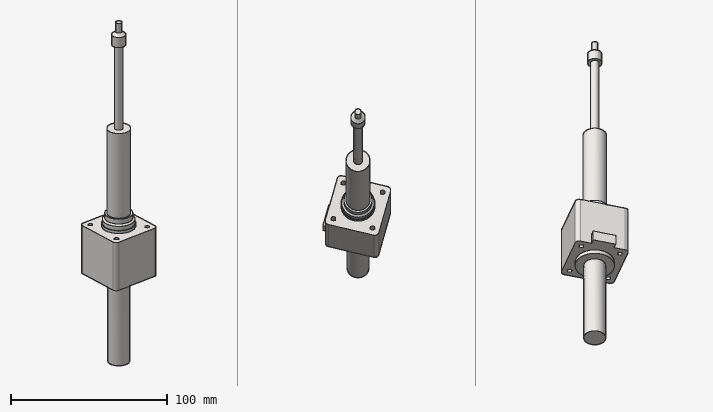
import cadquery as cq

total_height = 243.0
pilot_bottom = 59.5
case_bottom = 62.5
case_top = 97.0
flange_top = 99.0
collar_top = 101.8
shoulder_top = 102.8
neck_top = 106.2
tube_top = 167.0

case_width = 35.2
corner_radius = 2.7
mount_hole_diameter = 3.0
mount_hole_spacing = 25.8
lower_tube_diameter = 14.0
pilot_diameter = 25.0

flange_diameter = 21.9
collar_diameter = 21.0
neck_diameter = 18.0
guide_tube_diameter = 15.3

connector_width = 15.0
connector_depth = 3.6
connector_height = 7.3

rod_diameter = 5.5
rod_bottom = case_top
head_diameter = 9.2
head_bottom = 227.0
head_top = 234.3
tip_diameter = 4.1
tip_bottom = 236.3


def cylinder(diameter, bottom, top):
    """Upright cylinder on the Z axis between two levels."""
    return cq.Workplane("XY").workplane(offset=bottom).circle(diameter / 2).extrude(top - bottom)


def cone(bottom_diameter, top_diameter, bottom, top):
    """Upright truncated cone on the Z axis between two levels."""
    return (
        cq.Workplane("XY")
        .workplane(offset=bottom)
        .circle(bottom_diameter / 2)
        .workplane(offset=top - bottom)
        .circle(top_diameter / 2)
        .loft(combine=True)
    )


def make_case():
    """Square case with rounded upright edges and four through mounting holes."""
    return (
        cq.Workplane("XY")
        .workplane(offset=case_bottom)
        .rect(case_width, case_width)
        .extrude(case_top - case_bottom)
        .edges("|Z")
        .fillet(corner_radius)
        .faces(">Z")
        .workplane()
        .rect(mount_hole_spacing, mount_hole_spacing, forConstruction=True)
        .vertices()
        .hole(mount_hole_diameter)
    )


def make_connector():
    """Plain block on the +Y face, flush with the bottom of the case."""
    return (
        cq.Workplane("XY")
        .box(connector_width, connector_depth, connector_height, centered=(True, False, False))
        .translate((0, case_width / 2, case_bottom))
    )


def make_nose():
    """Collar and neck joined by a conical shoulder."""
    collar = cylinder(collar_diameter, flange_top, collar_top)
    shoulder = cone(collar_diameter, neck_diameter, collar_top, shoulder_top)
    neck = cylinder(neck_diameter, shoulder_top, neck_top)
    return collar.union(shoulder).union(neck)


def make_actuator():
    """Case, connector, tubes and stepped nose, with a socket for the rod."""
    body = make_case().union(make_connector())
    body = body.union(cylinder(lower_tube_diameter, 0, case_bottom))
    body = body.union(cylinder(pilot_diameter, pilot_bottom, case_bottom))
    body = body.union(cylinder(flange_diameter, case_top, flange_top))
    body = body.union(make_nose())
    body = body.union(cylinder(guide_tube_diameter, neck_top, tube_top))
    return body.cut(cylinder(rod_diameter, rod_bottom, tube_top))


def make_rod():
    """Rod with a wider head that tapers to a slim tip."""
    rod = cylinder(rod_diameter, rod_bottom, head_bottom)
    rod = rod.union(cylinder(head_diameter, head_bottom, head_top))
    rod = rod.union(cone(head_diameter, tip_diameter, head_top, tip_bottom))
    return rod.union(cylinder(tip_diameter, tip_bottom, total_height))


actuator = make_actuator()
rod = make_rod()

result = cq.Compound.makeCompound([actuator.val(), rod.val()])